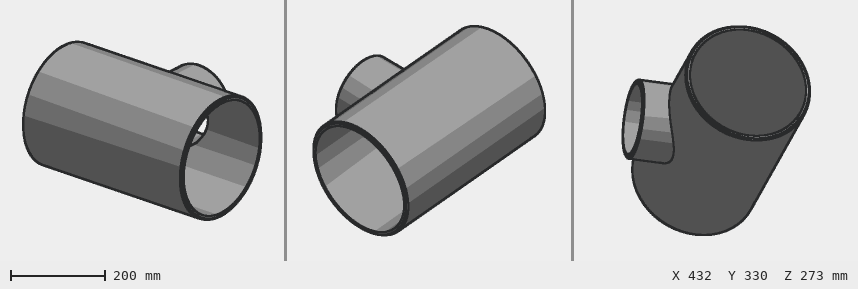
import cadquery as cq

run_length = 432.0
run_diameter = 273.0
run_wall = 9.5

branch_diameter = 168.5
branch_wall = 9.0
overall_depth = 330.0
branch_reach = overall_depth - run_diameter / 2

bevel_length = 3.0
bevel_depth = 3.5


def beveled_rod(diameter, start, end, bevel_start):
    """Solid rod along X, beveled at its end and optionally at its start."""
    radius = diameter / 2
    profile = cq.Workplane("XY").moveTo(start, 0)
    if bevel_start:
        profile = profile.lineTo(start, radius - bevel_depth).lineTo(start + bevel_length, radius)
    else:
        profile = profile.lineTo(start, radius)
    profile = profile.lineTo(end - bevel_length, radius).lineTo(end, radius - bevel_depth)
    return profile.lineTo(end, 0).close().revolve(360, (0, 0, 0), (1, 0, 0))


def bore(diameter, start, end):
    """Plain cylinder along X used to hollow out a pipe."""
    return cq.Workplane("YZ", origin=(start, 0, 0)).circle(diameter / 2).extrude(end - start)


def turn_to_branch(body):
    """Swing a body from the X axis onto the Y axis."""
    return body.rotate((0, 0, 0), (0, 0, 1), 90)


run_body = beveled_rod(run_diameter, -run_length / 2, run_length / 2, True)
branch_body = turn_to_branch(beveled_rod(branch_diameter, 0, branch_reach, False))

run_bore = bore(run_diameter - 2 * run_wall, -run_length / 2, run_length / 2)
branch_bore = turn_to_branch(bore(branch_diameter - 2 * branch_wall, 0, branch_reach))

result = run_body.union(branch_body).cut(run_bore).cut(branch_bore)